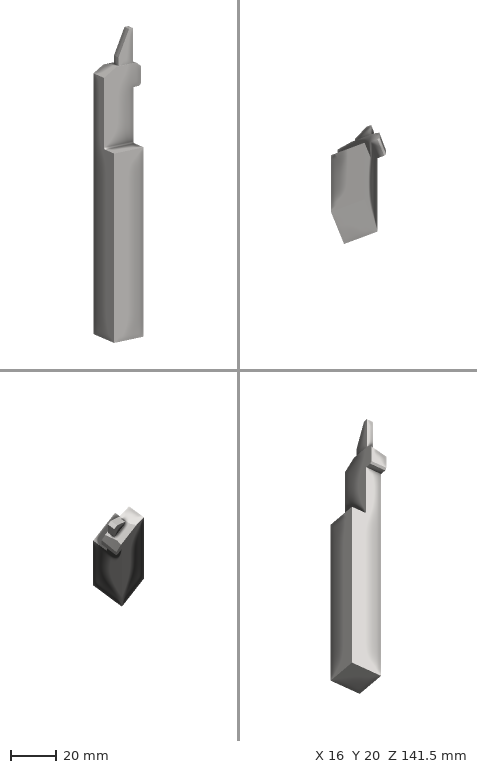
import cadquery as cq
import math

shank_size = 16.0
head_reach = 4.0
head_depth = shank_size + head_reach
shoulder_height = 88.1
shoulder_fillet = 0.8

head_width = 8.2
head_top = 125.2
overhang_bottom = 114.1
overhang_chamfer = 0.9

front_bevel_depth = 6.8
front_bevel_angle = 30.0
side_bevel_width = 2.5
side_bevel_drop = 0.82
inner_bevel_start = 17.55
inner_bevel_drop = 1.95
outer_bevel_start = 15.75
outer_bevel_drop = 3.85

blade_left = 4.3
blade_thickness = 3.5
blade_front = 8.15
blade_back = 15.95
blade_tip_length = 2.1
blade_bend_height = 129.2
blade_top = 141.47


def extrude_along_x(points, start, length):
    """Extrude a closed (Y, Z) outline along +X from the given X."""
    return cq.Workplane("YZ").workplane(offset=start).polyline(points).close().extrude(length)


def make_bar():
    lower = cq.Workplane("XY").box(shank_size, shank_size, shoulder_height, centered=False)
    front_bevel_drop = front_bevel_depth * math.tan(math.radians(front_bevel_angle))
    head_outline = [
        (0, 0),
        (shank_size, 0),
        (shank_size, overhang_bottom),
        (head_depth - overhang_chamfer, overhang_bottom),
        (head_depth, overhang_bottom + overhang_chamfer),
        (head_depth, head_top),
        (front_bevel_depth, head_top),
        (0, head_top - front_bevel_drop),
    ]
    bar = lower.union(extrude_along_x(head_outline, 0, head_width))
    inner_corner = cq.selectors.NearestToPointSelector((head_width, shank_size / 2, shoulder_height))
    return bar.edges(inner_corner).fillet(shoulder_fillet)


def make_side_bevel_cutter():
    return (
        cq.Workplane("XZ")
        .polyline([(0, head_top - side_bevel_drop), (side_bevel_width, head_top), (0, head_top)])
        .close()
        .extrude(-head_depth)
    )


def rear_bevel_section(start, drop):
    return [(start, head_top), (head_depth, head_top - drop), (head_depth, head_top)]


def make_rear_bevel_cutter():
    """Ruled wedge between the outer and the inner bevel sections."""
    return (
        cq.Workplane("YZ")
        .polyline(rear_bevel_section(outer_bevel_start, outer_bevel_drop))
        .close()
        .workplane(offset=head_width)
        .polyline(rear_bevel_section(inner_bevel_start, inner_bevel_drop))
        .close()
        .loft(ruled=True)
    )


def make_blade():
    outline = [
        (blade_front, head_top),
        (blade_back, head_top),
        (blade_back, blade_top),
        (blade_back - blade_tip_length, blade_top),
        (blade_front, blade_bend_height),
    ]
    return extrude_along_x(outline, blade_left, blade_thickness)


result = make_bar().cut(make_side_bevel_cutter()).cut(make_rear_bevel_cutter()).union(make_blade())